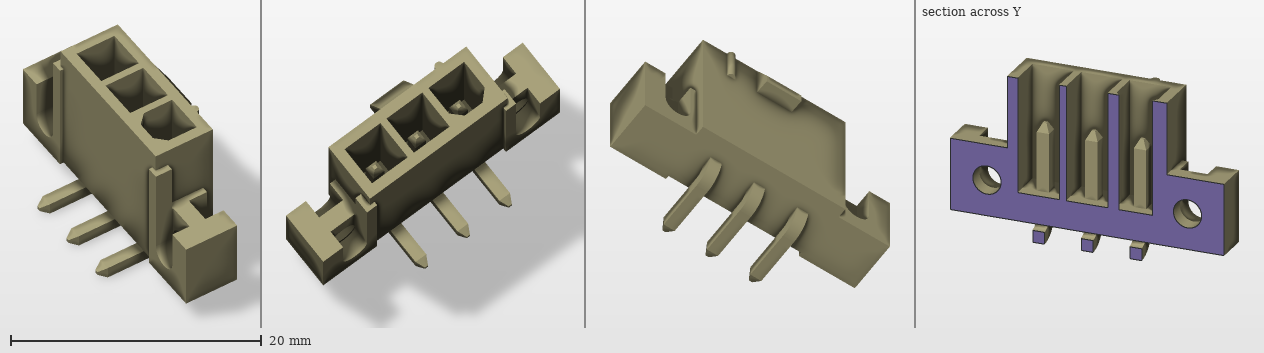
import cadquery as cq
import math


TOTAL_WIDTH = 23.8

HOUSING_WIDTH = 13.85
HOUSING_DEPTH = 5.45
HOUSING_HEIGHT = 12.45

CONTACT_PITCH = 4.21
CONTACT_POSITIONS = (-CONTACT_PITCH, 0.0, CONTACT_PITCH)
CAVITY_SIZE = 3.6
CAVITY_FLOOR = 2.5
KEY_CHAMFER = 0.9

EAR_HEIGHT = 6.24
EAR_FRONT = -0.35
EAR_DEPTH = 4.88
EAR_INNER_X = 6.47
SCREW_DIAMETER = 2.4
SCREW_Z = EAR_HEIGHT / 2
WEB_FRONT = 1.29
WEB_THICKNESS = 1.5
RELIEF_DROP = 0.35

RAIL_HEIGHT = 10.8
RAIL_DEPTH = 1.52
RAIL_OUTER_X = 7.5

LATCH_WIDTH = 3.35
LATCH_REACH = 1.38
RAMP_DROP = 2.33
LATCH_ROOT_DROP = 3.07
LATCH_TIP_DROP = 3.17
RIB_RADIUS = 0.38
RIB_LENGTH = 3.15

PIN_SIZE = 1.07
PIN_Y = 2.9
PIN_TOP = 8.33
LEG_BOTTOM = -1.65
LEG_TIP_Y = -3.88
BEND_INNER_RADIUS = 0.93
TIP_LENGTH = 0.74
TIP_SIZE = 0.3

SCREW_X = RAIL_OUTER_X + SCREW_DIAMETER / 2
EAR_BACK = EAR_FRONT + EAR_DEPTH
WEB_BACK = WEB_FRONT + WEB_THICKNESS
CAVITY_Y = HOUSING_DEPTH / 2


def box_between(x_range, y_range, z_range):
    """Box spanning the given (low, high) pairs."""
    (x0, x1), (y0, y1), (z0, z1) = x_range, y_range, z_range
    return cq.Workplane("XY").box(x1 - x0, y1 - y0, z1 - z0, centered=False).translate((x0, y0, z0))


def make_housing():
    half_width = HOUSING_WIDTH / 2
    return box_between((-half_width, half_width), (0, HOUSING_DEPTH), (0, HOUSING_HEIGHT))


def make_cavity(x, keyed):
    """Square pocket; the keyed one has its two front corners cut off."""
    depth = HOUSING_HEIGHT - CAVITY_FLOOR
    cavity = cq.Workplane("XY").box(CAVITY_SIZE, CAVITY_SIZE, depth, centered=(True, True, False))
    if keyed:
        cavity = cavity.faces("<Y").edges("|Z").chamfer(KEY_CHAMFER)
    return cavity.translate((x, CAVITY_Y, CAVITY_FLOOR))


def make_screw_relief(y_front, y_back):
    """Round-bottomed slot, open at the top, that gives room for a screw beside the web."""
    centre_z = SCREW_Z - RELIEF_DROP
    barrel = (
        cq.Workplane("XZ", origin=(SCREW_X, y_front, centre_z))
        .circle(SCREW_DIAMETER / 2)
        .extrude(y_front - y_back)
    )
    channel = box_between(
        (SCREW_X - SCREW_DIAMETER / 2, SCREW_X + SCREW_DIAMETER / 2),
        (y_front, y_back),
        (centre_z, EAR_HEIGHT),
    )
    return barrel.union(channel)


def make_right_side():
    """Ear and corner rail on the +X side."""
    ear = box_between((EAR_INNER_X, TOTAL_WIDTH / 2), (EAR_FRONT, EAR_BACK), (0, EAR_HEIGHT))
    ear = ear.cut(make_screw_relief(EAR_FRONT, WEB_FRONT))
    ear = ear.cut(make_screw_relief(WEB_BACK, EAR_BACK))
    screw_hole = (
        cq.Workplane("XZ", origin=(SCREW_X, EAR_FRONT, SCREW_Z))
        .circle(SCREW_DIAMETER / 2)
        .extrude(-EAR_DEPTH)
    )
    rail = box_between(
        (EAR_INNER_X, RAIL_OUTER_X), (EAR_FRONT, EAR_FRONT + RAIL_DEPTH), (0, RAIL_HEIGHT)
    )
    return ear.cut(screw_hole).union(rail)


def make_latch():
    """Ramp on the back wall with a slightly hooked underside."""
    tip_y = HOUSING_DEPTH + LATCH_REACH
    profile = [
        (HOUSING_DEPTH, HOUSING_HEIGHT),
        (tip_y, HOUSING_HEIGHT - RAMP_DROP),
        (tip_y, HOUSING_HEIGHT - LATCH_TIP_DROP),
        (HOUSING_DEPTH, HOUSING_HEIGHT - LATCH_ROOT_DROP),
    ]
    return cq.Workplane("YZ").polyline(profile).close().extrude(LATCH_WIDTH / 2, both=True)


def make_guide_rib():
    """Upright rib of half-round section behind the keyed cavity."""
    return (
        cq.Workplane("XY", origin=(CONTACT_PITCH, HOUSING_DEPTH, HOUSING_HEIGHT - RIB_LENGTH))
        .circle(RIB_RADIUS)
        .extrude(RIB_LENGTH)
    )


def make_pin_tip(plane):
    """Pyramid stub that tapers from the pin section along the normal of the plane."""
    return (
        cq.Workplane(plane)
        .rect(PIN_SIZE, PIN_SIZE)
        .workplane(offset=TIP_LENGTH)
        .rect(TIP_SIZE, TIP_SIZE)
        .loft(ruled=True)
    )


def make_pin():
    """Square pin that comes down out of its cavity and bends forward, at X = 0."""
    post_front = PIN_Y - PIN_SIZE / 2
    post_back = PIN_Y + PIN_SIZE / 2
    leg_top = LEG_BOTTOM + PIN_SIZE
    shoulder_z = PIN_TOP - TIP_LENGTH
    shoulder_y = LEG_TIP_Y + TIP_LENGTH
    bend_outer_radius = BEND_INNER_RADIUS + PIN_SIZE
    bend_y = post_front - BEND_INNER_RADIUS
    bend_z = leg_top + BEND_INNER_RADIUS

    inner_offset = BEND_INNER_RADIUS * math.sqrt(0.5)
    outer_offset = bend_outer_radius * math.sqrt(0.5)
    body = (
        cq.Workplane("YZ", origin=(-PIN_SIZE / 2, 0, 0))
        .moveTo(post_front, shoulder_z)
        .lineTo(post_front, bend_z)
        .threePointArc((bend_y + inner_offset, bend_z - inner_offset), (bend_y, leg_top))
        .lineTo(shoulder_y, leg_top)
        .lineTo(shoulder_y, LEG_BOTTOM)
        .lineTo(bend_y, LEG_BOTTOM)
        .threePointArc((bend_y + outer_offset, bend_z - outer_offset), (post_back, bend_z))
        .lineTo(post_back, shoulder_z)
        .close()
        .extrude(PIN_SIZE)
    )
    top_tip = make_pin_tip(cq.Plane(origin=(0, PIN_Y, shoulder_z), normal=(0, 0, 1)))
    leg_z = LEG_BOTTOM + PIN_SIZE / 2
    leg_tip = make_pin_tip(cq.Plane(origin=(0, shoulder_y, leg_z), xDir=(1, 0, 0), normal=(0, -1, 0)))
    return body.union(top_tip).union(leg_tip)


right_side = make_right_side()
result = make_housing().union(right_side).union(right_side.mirror("YZ"))
result = result.union(make_latch()).union(make_guide_rib())

for contact_x in CONTACT_POSITIONS:
    result = result.cut(make_cavity(contact_x, keyed=contact_x == CONTACT_POSITIONS[-1]))

pin = make_pin()
for contact_x in CONTACT_POSITIONS:
    result = result.union(pin.translate((contact_x, 0, 0)))